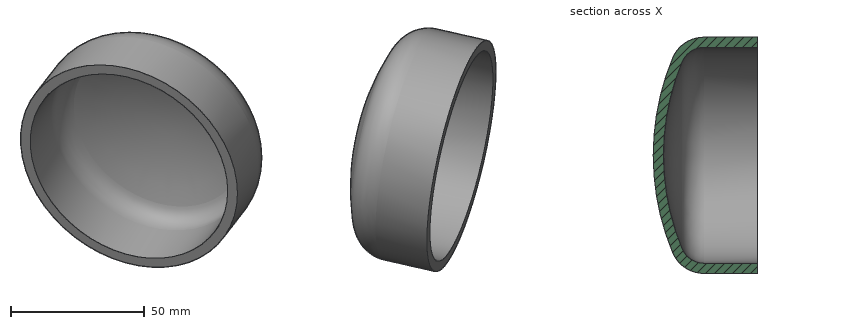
import cadquery as cq
import math

outer_diameter = 88.9
inner_diameter = 80.9
total_height = 39.2
skirt_height = 20.0
knuckle_radius = 12.9

outer_radius = outer_diameter / 2
wall = (outer_diameter - inner_diameter) / 2
dome_height = total_height - skirt_height

knuckle_offset = outer_radius - knuckle_radius

crown_radius = (dome_height**2 + knuckle_offset**2 - knuckle_radius**2) / (
    2 * (dome_height - knuckle_radius)
)
crown_center = total_height - crown_radius

tangent_angle = math.asin(knuckle_offset / (crown_radius - knuckle_radius))


def arc_point(center, radius, angle):
    """Point on an arc, with the angle measured from the +Y axis."""
    center_x, center_y = center
    return (center_x + radius * math.sin(angle), center_y + radius * math.cos(angle))


def domed_solid(inset):
    """Solid cap bounded by the outer surface moved inward by inset."""
    knuckle_center = (knuckle_offset, skirt_height)
    knuckle = knuckle_radius - inset
    crown = crown_radius - inset
    side_radius = outer_radius - inset
    knuckle_middle_angle = (tangent_angle + math.pi / 2) / 2
    return (
        cq.Workplane("XY")
        .lineTo(side_radius, 0)
        .lineTo(side_radius, skirt_height)
        .threePointArc(
            arc_point(knuckle_center, knuckle, knuckle_middle_angle),
            arc_point(knuckle_center, knuckle, tangent_angle),
        )
        .threePointArc(
            arc_point((0, crown_center), crown, tangent_angle / 2),
            (0, total_height - inset),
        )
        .close()
        .revolve(360, (0, 0, 0), (0, 1, 0))
    )


result = domed_solid(0).cut(domed_solid(wall))